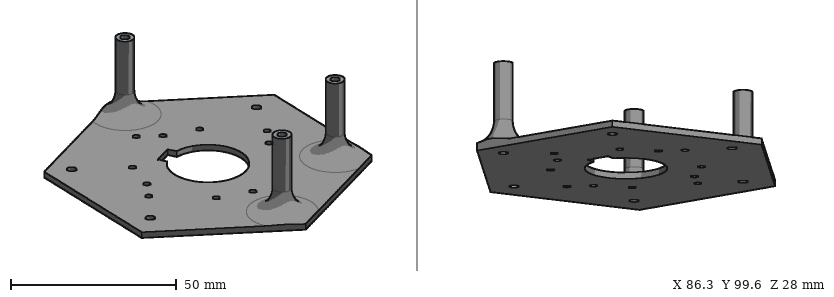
import cadquery as cq
import math

plate_corner_diameter = 99.6
plate_thickness = 2.0

bore_diameter = 24.9
notch_reach = 14.9
notch_width = 7.4

mount_center_x = -1.5
mount_radius = 40.1
mount_hole_diameter = 2.9
post_angles = (30, 150, -30)
plain_mount_angles = (90, 210, 270)

post_diameter = 5.8
post_top = 28.0
flare_radius = 8.0

small_hole_diameter = 2.2
inner_ring_radius = 22.9
inner_ring_angles = (30, 60, 120, 150, 210, 240, 300, 330)
outer_ring_radius = 28.1
outer_ring_angles = (74.1, 164.1, 254.1, 344.1)


def ring_points(radius, angles, center_x=0.0):
    """Points at the given angles (degrees) on a circle centred on the X axis."""
    return [
        (center_x + radius * math.cos(math.radians(a)), radius * math.sin(math.radians(a)))
        for a in angles
    ]


def hexagon(height):
    """Hexagonal prism standing on Z = 0."""
    return (
        cq.Workplane("XY")
        .polygon(6, plate_corner_diameter)
        .extrude(height)
        .rotate((0, 0, 0), (0, 0, 1), 30)
    )


def flared_post():
    """Solid post on the Z axis, from Z = 0 to its top, with a quarter-round flare."""
    post_radius = post_diameter / 2
    foot_radius = post_radius + flare_radius
    flare_top = plate_thickness + flare_radius
    arc_offset = flare_radius * math.sqrt(0.5)
    arc_middle = (foot_radius - arc_offset, flare_top - arc_offset)
    return (
        cq.Workplane("XZ")
        .lineTo(foot_radius, 0)
        .lineTo(foot_radius, plate_thickness)
        .threePointArc(arc_middle, (post_radius, flare_top))
        .lineTo(post_radius, post_top)
        .lineTo(0, post_top)
        .close()
        .revolve(360, (0, 0, 0), (0, 1, 0))
    )


def drills(points, diameter):
    """Cylinders that cut through the full height of the part."""
    return cq.Workplane("XY").pushPoints(points).circle(diameter / 2).extrude(post_top)


result = hexagon(plate_thickness)
trim = hexagon(post_top)
for x, y in ring_points(mount_radius, post_angles, mount_center_x):
    result = result.union(flared_post().translate((x, y, 0)).intersect(trim))

bore = cq.Workplane("XY").circle(bore_diameter / 2).extrude(plate_thickness)
notch = (
    cq.Workplane("XY")
    .center(-notch_reach / 2, 0)
    .rect(notch_reach, notch_width)
    .extrude(plate_thickness)
)
result = result.cut(bore).cut(notch)

mount_points = ring_points(mount_radius, post_angles + plain_mount_angles, mount_center_x)
result = result.cut(drills(mount_points, mount_hole_diameter))
small_points = ring_points(inner_ring_radius, inner_ring_angles)
small_points += ring_points(outer_ring_radius, outer_ring_angles)
result = result.cut(drills(small_points, small_hole_diameter))